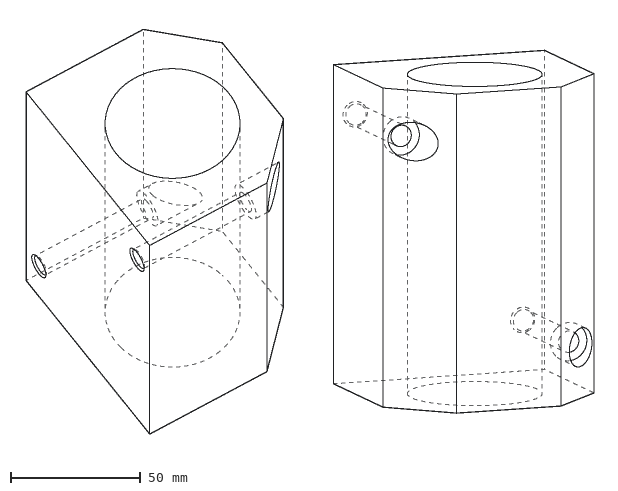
import cadquery as cq

width = 87.0
depth = 76.0
height = 125.0
corner_chamfer = 22.0

bore_diameter = 52.0
bore_y = 39.0

hole_x = 34.5
hole_edge_distance = 20.0
hole_diameter = 8.4
mouth_diameter = 10.0
mouth_depth = (mouth_diameter - hole_diameter) / 2
head_diameter = 15.0
head_seat_y = 50.0

hole_positions = [
    (-hole_x, hole_edge_distance),
    (hole_x, height - hole_edge_distance),
]


def make_block():
    """Upright block with both rear vertical edges chamfered."""
    block = cq.Workplane("XY").box(width, depth, height, centered=(True, False, False))
    return block.faces(">Y").edges("|Z").chamfer(corner_chamfer)


def make_bore():
    """Cylinder that clears the vertical bore."""
    return cq.Workplane("XY").center(0, bore_y).circle(bore_diameter / 2).extrude(height)


def make_screw_hole(x, z):
    """Through hole with a countersunk front mouth and a rear recess for the head."""
    start = cq.Vector(x, 0, z)
    along_y = cq.Vector(0, 1, 0)
    shank = cq.Solid.makeCylinder(hole_diameter / 2, depth, start, along_y)
    mouth = cq.Solid.makeCone(mouth_diameter / 2, hole_diameter / 2, mouth_depth, start, along_y)
    head = cq.Solid.makeCylinder(
        head_diameter / 2, depth - head_seat_y, cq.Vector(x, head_seat_y, z), along_y
    )
    return cq.Workplane(shank).union(cq.Workplane(mouth)).union(cq.Workplane(head))


result = make_block().cut(make_bore())
for x, z in hole_positions:
    result = result.cut(make_screw_hole(x, z))